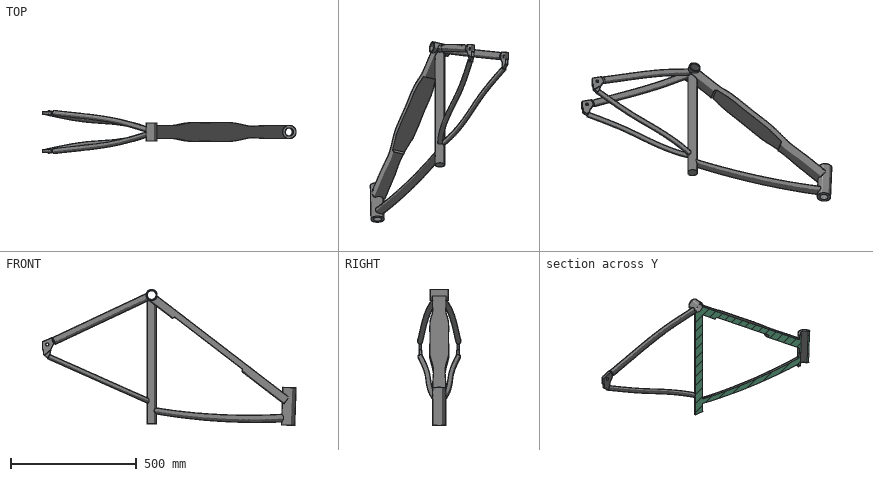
import cadquery as cq
import math


shell_od = 44.0
shell_bore = 34.0
shell_width = 73.0

seat_tube_x = 1.0
seat_tube_d = 38.0
seat_tube_end_z = -511.0

head_tube_od = 53.0
head_tube_bore = 32.0
head_tube_top = (548.0, -367.0)
head_tube_length = 150.0
head_tube_tilt = 2.0

down_tube_slope = 37.5
down_tube_length = 680.0
down_tube_top = 10.0
down_tube_end_depth = 33.0
down_tube_middle_depth = 24.0
down_tube_bottom_round = 8.0
recess_start = 122.0
recess_end = 470.0
recess_ramp = 5.0
down_tube_end_width = 52.0
down_tube_middle_width = 74.0
down_tube_waist_width = 46.0
swell_start = 111.0
swell_shoulder = (166.0, 34.0)
swell_middle = 292.0
swell_end = (398.0, 37.0)
waist_station = 489.0
waist_end = 585.0

top_tube_start = (10.0, -459.0)
top_tube_middle = (292.0, -489.0)
top_tube_end = (530.0, -488.0)
top_tube_start_width = 35.0
top_tube_end_width = 38.0
top_tube_start_height = 24.0
top_tube_end_height = 31.0

chain_stay_rise = -25.2
chain_stay_height = 29.0
chain_stay_thickness = 20.0
chain_stay_start = (0, 4.0)
chain_stay_bend_start = (105.0, 32.0)
chain_stay_bend_end = (177.0, 47.0)
chain_stay_end = (429.0, 76.1)

seat_stay_rise = 24.0
seat_stay_d = 19.0
seat_stay_origin_z = -427.0
seat_stay_path = [(0, 0), (182.0, 41.0), (277.0, 47.0), (449.0, 76.0)]
seat_stay_front_direction = (20, 10)
seat_stay_rear_direction = (5, 1)

dropout_y = 76.0
dropout_thickness = 11.0
axle_hole_d = 11.0
axle = (-415.0, -197.0)
dropout_outline = [
    (-434.2, -186.0), (-397.0, -169.0), (-388.0, -194.0), (-400.0, -217.0),
    (-426.0, -239.0), (-430.0, -236.0), (-431.0, -217.0), (-434.2, -216.0),
]
lug_outline = [(-400.0, -216.0), (-426.0, -239.0), (-410.0, -252.0), (-404.0, -235.0)]
lug_bend = 12


def mirrored(half):
    """Join a part on the +Y side with its mirror image."""
    return half.union(half.mirror("XZ"))


def stay_plane(rise, start_z):
    """Plane of a pair of stays: local x runs rearward at the rise angle, local y is the frame's Y."""
    angle = math.radians(rise)
    direction = (-math.cos(angle), 0, math.sin(angle))
    normal = (-math.sin(angle), 0, -math.cos(angle))
    return cq.Plane((0, 0, start_z), direction, normal)


def section_plane(plane, point, direction):
    """Plane across a stay at a local point, its local x lying in the stay's plane."""
    along = plane.toWorldCoords(direction) - plane.origin
    across = along.cross(plane.zDir)
    return cq.Plane(plane.toWorldCoords(point), across, along)


def make_chain_stay():
    plane = stay_plane(chain_stay_rise, 0)
    front_direction = cq.Vector(*chain_stay_bend_start) - cq.Vector(*chain_stay_start)
    rear_direction = cq.Vector(*chain_stay_end) - cq.Vector(*chain_stay_bend_end)
    path = (
        cq.Workplane(plane)
        .moveTo(*chain_stay_start)
        .lineTo(*chain_stay_bend_start)
        .spline(
            [chain_stay_bend_end, chain_stay_end],
            tangents=[front_direction, rear_direction],
            includeCurrent=True,
        )
    )
    across = section_plane(plane, chain_stay_start, front_direction.toTuple()[:2])
    section = cq.Workplane(across).ellipse(chain_stay_thickness / 2, chain_stay_height / 2)
    return section.sweep(path)


def make_seat_stay():
    plane = stay_plane(seat_stay_rise, seat_stay_origin_z)
    end_directions = [seat_stay_front_direction, seat_stay_rear_direction]
    path = cq.Workplane(plane).spline(seat_stay_path, tangents=end_directions)
    across = section_plane(plane, seat_stay_path[0], seat_stay_front_direction)
    return cq.Workplane(across).circle(seat_stay_d / 2).sweep(path)


def make_plate(outline):
    """Flat plate centred on the dropout on the +Y side."""
    return (
        cq.Workplane("XZ", origin=(0, dropout_y, 0))
        .polyline(outline).close()
        .extrude(dropout_thickness / 2, both=True)
    )


def make_dropout():
    hole = (
        cq.Workplane("XZ", origin=(0, dropout_y, 0))
        .center(*axle).circle(axle_hole_d / 2)
        .extrude(dropout_thickness, both=True)
    )
    (upper_x, upper_z), (lower_x, lower_z) = lug_outline[:2]
    lug = make_plate(lug_outline).rotate(
        (upper_x, dropout_y, upper_z), (lower_x, dropout_y, lower_z), lug_bend
    )
    return make_plate(dropout_outline).cut(hole).union(lug)


def make_down_tube():
    angle = math.radians(down_tube_slope)
    direction = (math.cos(angle), 0, -math.sin(angle))
    upward = (math.sin(angle), 0, math.cos(angle))
    side = cq.Plane((0, 0, 0), direction, (0, -1, 0))
    top = cq.Plane((cq.Vector(*upward) * down_tube_top).toTuple(), direction, upward)
    end = down_tube_end_width / 2
    middle = down_tube_middle_width / 2
    waist = down_tube_waist_width / 2
    straight = (1, 0)
    half = (
        cq.Workplane(top)
        .lineTo(0, end)
        .lineTo(swell_start, end)
        .spline(
            [swell_shoulder, (swell_middle, middle), swell_end, (waist_station, waist), (waist_end, end)],
            tangents=[straight, straight],
            includeCurrent=True,
        )
        .lineTo(down_tube_length, end)
        .lineTo(down_tube_length, 0)
        .close()
        .extrude(-down_tube_end_depth)
    )
    body = mirrored(half)
    deep = down_tube_top - down_tube_end_depth
    shallow = down_tube_top - down_tube_middle_depth
    recess = (
        cq.Workplane(side)
        .polyline([
            (recess_start, deep),
            (recess_start + recess_ramp, shallow),
            (recess_end - recess_ramp, shallow),
            (recess_end, deep),
        ])
        .close()
        .extrude(down_tube_middle_width, both=True)
    )
    lowest = cq.selectors.DirectionMinMaxSelector(cq.Vector(*upward), False)
    bottom_edges = body.faces(lowest).edges().vals()
    long_edges = [edge for edge in bottom_edges if abs(edge.Center().y) > waist / 2]
    return body.newObject(long_edges).fillet(down_tube_bottom_round).cut(recess)


def make_top_tube():
    path = cq.Workplane("XZ").moveTo(*top_tube_start).threePointArc(top_tube_middle, top_tube_end)
    curve = path.val()
    start_plane = cq.Plane(curve.startPoint(), (0, 1, 0), curve.tangentAt(0))
    end_plane = cq.Plane(curve.endPoint(), (0, 1, 0), curve.tangentAt(1))
    sections = cq.Workplane(start_plane).ellipse(top_tube_start_width / 2, top_tube_start_height / 2)
    sections = sections.copyWorkplane(cq.Workplane(end_plane))
    sections = sections.ellipse(top_tube_end_width / 2, top_tube_end_height / 2)
    return sections.sweep(path, multisection=True)


def make_head_cylinder(diameter, margin=0):
    """Cylinder on the head tube axis, lengthened by the margin at both ends."""
    top_x, top_z = head_tube_top
    angle = math.radians(head_tube_tilt)
    plane = cq.Plane((top_x, 0, top_z), (0, 1, 0), (-math.sin(angle), 0, -math.cos(angle)))
    return (
        cq.Workplane(plane)
        .workplane(offset=-margin)
        .circle(diameter / 2)
        .extrude(head_tube_length + 2 * margin)
    )


seat_tube = cq.Workplane("XY").center(seat_tube_x, 0).circle(seat_tube_d / 2).extrude(seat_tube_end_z)
shell = cq.Workplane("XZ").circle(shell_od / 2).extrude(shell_width / 2, both=True)
shell_hole = cq.Workplane("XZ").circle(shell_bore / 2).extrude(shell_width, both=True)
head_tube = make_head_cylinder(head_tube_od)
head_tube_hole = make_head_cylinder(head_tube_bore, margin=10)

result = seat_tube
for part in (shell, head_tube, make_down_tube(), make_top_tube()):
    result = result.union(part)
for half in (make_chain_stay(), make_seat_stay(), make_dropout()):
    result = result.union(mirrored(half))
result = result.cut(shell_hole).cut(head_tube_hole)